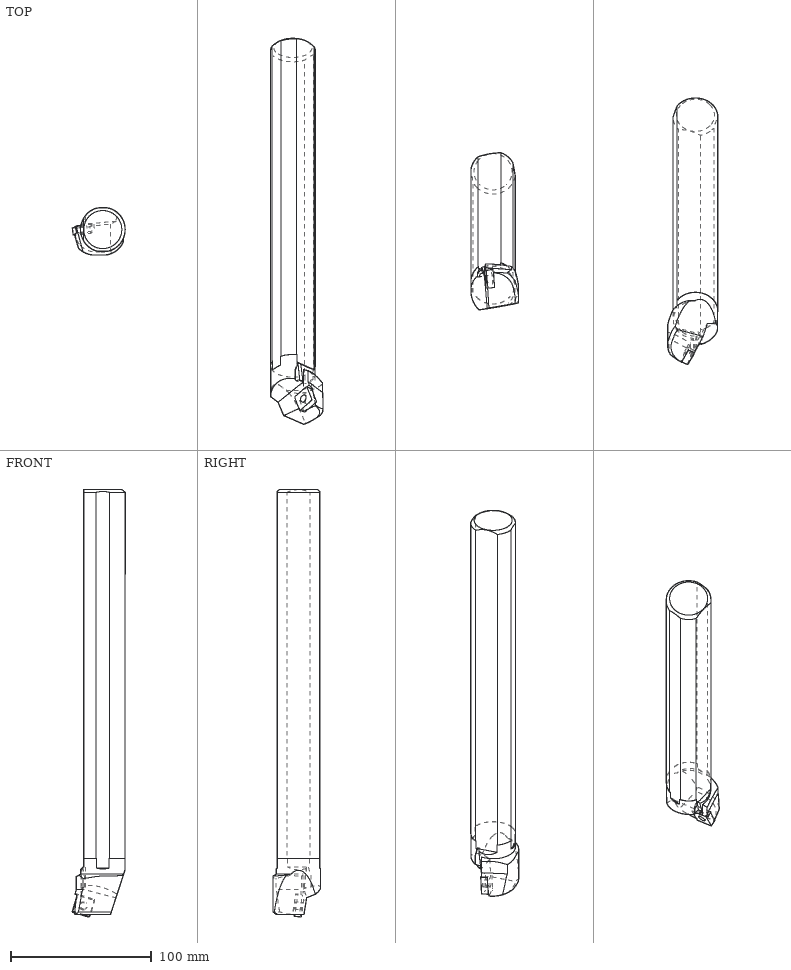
import cadquery as cq
import math

TOOL_LENGTH = 304.3
SHANK_RADIUS = 15.97
NECK_RADIUS = 15.8
SHANK_BOTTOM = 42.0
CHAMFER_HEIGHT = 2.0
CHAMFER_WIDTH = 2.5

SIDE_FLAT_END = 36.0
EDGE_FLAT_END = 35.0
SIDE_FLAT_DISTANCE = 13.7
EDGE_FLAT_DISTANCE = 15.2

HEAD_BOTTOM = 1.8
LEDGE_TOP = 30.7
LEDGE_DROP = 0.58
HEAD_ARC_RADIUS = 16.7
BACK_ARC_RADIUS = 15.5
HEAD_FLAT_Y = -18.3
HEAD_FLAT_LEFT = -5.5
HEAD_FLAT_RIGHT = 0.3
HEAD_CHAMFER_HEIGHT = 2.0
HEAD_CHAMFER_WIDTH = 2.5

RELIEF_TOP_X = 16.0
RELIEF_TOP = 34.5
RELIEF_BOTTOM_X = 5.5

SIDE_FACE_X = -18.5
SIDE_FACE_ANGLE = 15.0
SIDE_STEP_TOP = 19.8
SIDE_STEP_HEIGHT = 1.8
SIDE_STEP_WIDTH = 0.5
SIDE_FLARE = 2.7

INSERT_SIDE = 12.8
INSERT_THICKNESS = 5.0
INSERT_HOLE = 5.2
INSERT_NOSE = 0.75
INSERT_LEAD_ANGLE = 17.0
INSERT_CORNER = (-22.0, 1.0, 3.5)
RAKE_TILT = 0.12
SEAT_OVERHANG = 0.45

POCKET_SLOPE_X = -0.3
POCKET_SLOPE_Y = 0.45
POCKET_ROOF = 14.0
NOTCH_X = -12.5
NOTCH_Y = 8.8
NOTCH_TOP_Y = 7.0
NOTCH_FLOOR = 21.3
NOTCH_SHOULDER = 29.5
NOTCH_TOP = 36.0

BIG = 91.3


def rake_plane():
    """Plane of the insert's rake face, with its origin at the cutting corner."""
    lead = math.radians(INSERT_LEAD_ANGLE)
    along_x = math.cos(lead)
    along_z = -math.sin(lead)
    edge = (along_x, RAKE_TILT * (along_x + along_z), along_z)
    return cq.Plane(origin=INSERT_CORNER, xDir=edge, normal=(-RAKE_TILT, 1, -RAKE_TILT))


def insert_blank():
    """Square insert without its hole; also the shape of its seat."""
    centre = INSERT_SIDE / 2
    return (
        cq.Workplane(rake_plane())
        .center(centre, -centre)
        .rect(INSERT_SIDE, INSERT_SIDE)
        .extrude(-INSERT_THICKNESS)
        .edges(cq.selectors.ParallelDirSelector(rake_plane().zDir))
        .fillet(INSERT_NOSE)
    )


def make_insert():
    centre = INSERT_SIDE / 2
    hole = (
        cq.Workplane(rake_plane())
        .center(centre, -centre)
        .circle(INSERT_HOLE / 2)
        .extrude(-INSERT_THICKNESS)
    )
    return insert_blank().cut(hole)


def shank_and_neck():
    """Turned bar: chamfered top, long shank and slightly smaller neck."""
    return (
        cq.Workplane("XZ")
        .moveTo(0, HEAD_BOTTOM)
        .lineTo(NECK_RADIUS, HEAD_BOTTOM)
        .lineTo(NECK_RADIUS, SHANK_BOTTOM)
        .lineTo(SHANK_RADIUS, SHANK_BOTTOM)
        .lineTo(SHANK_RADIUS, TOOL_LENGTH - CHAMFER_HEIGHT)
        .lineTo(SHANK_RADIUS - CHAMFER_WIDTH, TOOL_LENGTH)
        .lineTo(0, TOOL_LENGTH)
        .close()
        .revolve(360, (0, 0, 0), (0, 1, 0))
    )


def flat_cutter(distance, lower_end, direction_angle):
    """Block that mills a flat with a 45 degree run-out at its lower end."""
    return (
        cq.Workplane("XZ")
        .moveTo(distance, lower_end)
        .lineTo(distance + BIG, lower_end - BIG)
        .lineTo(distance + BIG, TOOL_LENGTH + BIG)
        .lineTo(distance, TOOL_LENGTH + BIG)
        .close()
        .extrude(BIG / 2, both=True)
        .rotate((0, 0, 0), (0, 0, 1), direction_angle)
    )


def head_block():
    """Offset head, bounded above by a conical ledge around the neck."""
    arc_y = HEAD_FLAT_Y + HEAD_ARC_RADIUS
    diagonal = HEAD_ARC_RADIUS * math.sqrt(0.5)
    left = HEAD_FLAT_LEFT - HEAD_ARC_RADIUS
    back_y = HEAD_FLAT_Y + BACK_ARC_RADIUS
    back_diagonal = BACK_ARC_RADIUS * math.sqrt(0.5)
    right = HEAD_FLAT_RIGHT + BACK_ARC_RADIUS
    block = (
        cq.Workplane("XY", origin=(0, 0, HEAD_BOTTOM))
        .moveTo(HEAD_FLAT_LEFT, HEAD_FLAT_Y)
        .lineTo(HEAD_FLAT_RIGHT, HEAD_FLAT_Y)
        .threePointArc((HEAD_FLAT_RIGHT + back_diagonal, back_y - back_diagonal), (right, back_y))
        .lineTo(0, NOTCH_Y)
        .lineTo(left, INSERT_CORNER[1])
        .lineTo(left, arc_y)
        .threePointArc((HEAD_FLAT_LEFT - diagonal, arc_y - diagonal), (HEAD_FLAT_LEFT, HEAD_FLAT_Y))
        .close()
        .extrude(LEDGE_TOP - HEAD_BOTTOM)
    )
    front_edges = cq.selectors.BoxSelector((-BIG, -BIG, 0), (BIG, arc_y, HEAD_BOTTOM + HEAD_CHAMFER_HEIGHT))
    block = block.faces("<Z").edges(front_edges).chamfer(HEAD_CHAMFER_HEIGHT, HEAD_CHAMFER_WIDTH)
    ledge = (
        cq.Workplane("XZ")
        .lineTo(NECK_RADIUS + LEDGE_TOP / LEDGE_DROP, 0)
        .lineTo(NECK_RADIUS, LEDGE_TOP)
        .lineTo(0, LEDGE_TOP)
        .close()
        .revolve(360, (0, 0, 0), (0, 1, 0))
    )
    return block.intersect(ledge)


def relief_cutter():
    """Slopes the +X side of the head away from the bore."""
    return (
        cq.Workplane("XZ")
        .moveTo(RELIEF_TOP_X, RELIEF_TOP)
        .lineTo(RELIEF_BOTTOM_X, HEAD_BOTTOM)
        .lineTo(BIG, HEAD_BOTTOM)
        .lineTo(BIG, RELIEF_TOP)
        .close()
        .extrude(BIG, both=True)
    )


def side_face_cutter():
    """Trims the -X side of the head: upright, then a sloping step, then a flare."""
    return (
        cq.Workplane("XZ")
        .moveTo(0, LEDGE_TOP)
        .lineTo(0, SIDE_STEP_TOP)
        .lineTo(-SIDE_STEP_WIDTH, SIDE_STEP_TOP - SIDE_STEP_HEIGHT)
        .lineTo(-SIDE_FLARE, HEAD_BOTTOM)
        .lineTo(-BIG, HEAD_BOTTOM)
        .lineTo(-BIG, LEDGE_TOP)
        .close()
        .extrude(BIG, both=True)
        .rotate((0, 0, 0), (0, 0, 1), SIDE_FACE_ANGLE)
        .translate((SIDE_FACE_X, INSERT_CORNER[1], 0))
    )


def seat_edge_cutter():
    """Trims the head just inside both cutting edges of the insert."""
    return (
        cq.Workplane(rake_plane())
        .moveTo(-BIG, -INSERT_SIDE)
        .lineTo(SEAT_OVERHANG, -INSERT_SIDE)
        .lineTo(SEAT_OVERHANG, -SEAT_OVERHANG)
        .lineTo(INSERT_SIDE, -SEAT_OVERHANG)
        .lineTo(INSERT_SIDE, BIG)
        .lineTo(-BIG, BIG)
        .close()
        .extrude(-INSERT_THICKNESS)
    )


def chip_pocket():
    """Space in front of the rake face, closed above by a sloping roof."""
    front = cq.Workplane(rake_plane()).rect(2 * BIG, 2 * BIG).extrude(BIG)
    roof_plane = cq.Plane(
        origin=(0, 0, POCKET_ROOF), xDir=(1, 0, POCKET_SLOPE_X), normal=(-POCKET_SLOPE_X, -POCKET_SLOPE_Y, 1)
    )
    below_roof = cq.Workplane(roof_plane).rect(2 * BIG, 2 * BIG).extrude(-BIG)
    return front.intersect(below_roof)


def chip_notch():
    """Shallow chip notch in the -X side of the neck, above the pocket."""
    notch = (
        cq.Workplane("YZ", origin=(NOTCH_X, 0, 0))
        .moveTo(0, NOTCH_FLOOR)
        .lineTo(NOTCH_Y, NOTCH_FLOOR)
        .lineTo(NOTCH_Y, NOTCH_SHOULDER)
        .lineTo(NOTCH_TOP_Y, NOTCH_TOP)
        .lineTo(0, NOTCH_TOP)
        .close()
        .extrude(-BIG)
    )
    front = cq.Workplane(rake_plane()).rect(2 * BIG, 2 * BIG).extrude(BIG)
    return notch.intersect(front)


def make_bar():
    bar = shank_and_neck()
    bar = bar.cut(flat_cutter(SIDE_FLAT_DISTANCE, SIDE_FLAT_END, 180))
    for direction_angle in (90, -90):
        bar = bar.cut(flat_cutter(EDGE_FLAT_DISTANCE, EDGE_FLAT_END, direction_angle))
    head = head_block().cut(side_face_cutter())
    bar = bar.union(head)
    bar = bar.cut(relief_cutter())
    bar = bar.cut(chip_pocket())
    bar = bar.cut(chip_notch())
    bar = bar.cut(seat_edge_cutter())
    return bar.cut(insert_blank())


boring_bar = make_bar()
cutting_insert = make_insert()

result = cq.Compound.makeCompound([boring_bar.val(), cutting_insert.val()])